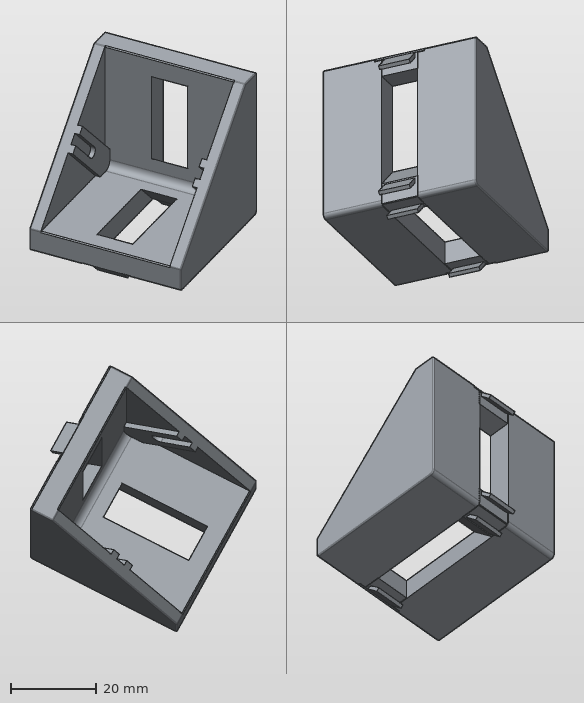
import cadquery as cq
import math

WIDTH = 40.0
OVERALL = 42.0
TAB_REACH = 3.0
BODY = OVERALL - TAB_REACH
PLATE = 6.0
END_FACE = PLATE
CHEEK = 3.0
INNER_WIDTH = WIDTH - 2 * CHEEK
LIP_BEVEL = 0.3
INNER_RADIUS = 2.0

END_CHAMFER = 0.4
CORNER_RADIUS = 1.18
EDGE_RADIUS = 0.3

RIB_WIDTH = 7.0
RIB_HEIGHT = 1.25
SLOT_WIDTH = 2.8
SLOT_LENGTH = 12.22

WINDOW_WIDTH = 9.4
WINDOW_LENGTH = 22.6
WINDOW_START = 11.45

TAB_WIDTH = 8.0
TAB_THICKNESS = 0.95
TAB_ROOT = 0.65
TAB_STARTS = (5.1, 38.15)

GROOVE_DEPTH = 0.25
RECESS_WIDTH = 12.9
RECESS_DEPTH = 0.4

CLEARANCE = 2.1
DIAGONAL = (BODY + END_FACE) / math.sqrt(2)


def side_profile(points):
    """Closed outline in the YZ plane from (distance forward of the back, height) pairs."""
    return cq.Workplane("YZ").polyline([(-forward, height) for forward, height in points]).close()


def extrude_centred(outline, width):
    return outline.extrude(width / 2, both=True)


def edge_at(forward, height):
    """Selects the edge along X at the given place in the side outline."""
    return cq.selectors.NearestToPointSelector((0, -forward, height))


def make_block():
    """Solid bracket with chamfered ends and rounded edges, before hollowing."""
    outline = [
        (0, 0),
        (BODY - END_CHAMFER, 0),
        (BODY, END_CHAMFER),
        (BODY, END_FACE),
        (END_FACE, BODY),
        (END_CHAMFER, BODY),
        (0, BODY - END_CHAMFER),
    ]
    block = extrude_centred(side_profile(outline), WIDTH)
    block = block.edges(edge_at(0, 0)).fillet(CORNER_RADIUS)
    for slope_end in ((BODY, END_FACE), (END_FACE, BODY)):
        block = block.edges(edge_at(*slope_end)).fillet(EDGE_RADIUS)
    return block.faces("<X or >X").edges().fillet(EDGE_RADIUS)


def make_cavity():
    """Space between the cheeks, which also bevels the inner end edge of each plate."""
    beyond = BODY + CLEARANCE
    lip = PLATE - LIP_BEVEL
    outline = [
        (PLATE, PLATE),
        (BODY - LIP_BEVEL, PLATE),
        (BODY, lip),
        (beyond, lip),
        (beyond, beyond),
        (lip, beyond),
        (lip, BODY),
        (PLATE, BODY - LIP_BEVEL),
    ]
    cavity = extrude_centred(side_profile(outline), INNER_WIDTH)
    return cavity.edges(edge_at(PLATE, PLATE)).fillet(INNER_RADIUS)


def make_rib(side):
    """Rib on one cheek, from the inner corner to the sloping edge, with a round-ended slot."""
    slot_radius = SLOT_WIDTH / 2
    slot_centre = DIAGONAL - SLOT_LENGTH + slot_radius
    rib = (
        cq.Workplane("YZ")
        .moveTo(-DIAGONAL, -RIB_WIDTH / 2)
        .lineTo(-PLATE, -RIB_WIDTH / 2)
        .lineTo(-PLATE, RIB_WIDTH / 2)
        .lineTo(-DIAGONAL, RIB_WIDTH / 2)
        .lineTo(-DIAGONAL, slot_radius)
        .lineTo(-slot_centre, slot_radius)
        .threePointArc((-slot_centre + slot_radius, 0), (-slot_centre, -slot_radius))
        .lineTo(-DIAGONAL, -slot_radius)
        .close()
        .extrude(RIB_HEIGHT / 2, both=True)
    )
    middle = side * (INNER_WIDTH - RIB_HEIGHT) / 2
    return rib.rotate((0, 0, 0), (1, 0, 0), -45).translate((middle, 0, 0))


def make_tab(start):
    """Tab on the underside, leaning 45 degrees towards the back as it goes down."""
    step = TAB_THICKNESS / math.sqrt(2)
    outline = [
        (start + TAB_ROOT, TAB_ROOT),
        (start - TAB_REACH, -TAB_REACH),
        (start - TAB_REACH - step, -TAB_REACH + step),
        (start + TAB_ROOT - step, TAB_ROOT + step),
    ]
    return extrude_centred(side_profile(outline), TAB_WIDTH)


def make_openings():
    """Window, shallow groove and end recess of the bottom plate.

    The window's end nearest the corner and the recess wall lean 45 degrees, parallel to the tabs.
    """
    inside = PLATE + CLEARANCE
    window_outline = [
        (WINDOW_START + CLEARANCE, inside),
        (WINDOW_START - PLATE - CLEARANCE, -CLEARANCE),
        (WINDOW_START + WINDOW_LENGTH, -CLEARANCE),
        (WINDOW_START + WINDOW_LENGTH, inside),
    ]
    window = extrude_centred(side_profile(window_outline), WINDOW_WIDTH)
    beyond = BODY + CLEARANCE
    groove_outline = [
        (-CLEARANCE, -CLEARANCE),
        (beyond, -CLEARANCE),
        (beyond, GROOVE_DEPTH),
        (-CLEARANCE, GROOVE_DEPTH),
    ]
    groove = extrude_centred(side_profile(groove_outline), WINDOW_WIDTH)
    recess_start = TAB_STARTS[-1]
    recess_outline = [
        (recess_start + RECESS_DEPTH, RECESS_DEPTH),
        (recess_start - CLEARANCE, -CLEARANCE),
        (beyond, -CLEARANCE),
        (beyond, RECESS_DEPTH),
    ]
    recess = extrude_centred(side_profile(recess_outline), RECESS_WIDTH)
    return window.union(groove).union(recess)


def on_both_plates(bottom_feature):
    """A bottom-plate feature together with its twin on the back plate."""
    twin = bottom_feature.rotate((0, 0, 0), (0, -1, 1), 180)
    return bottom_feature.union(twin)


result = make_block().cut(make_cavity())
for side in (-1, 1):
    result = result.union(make_rib(side))
result = result.cut(on_both_plates(make_openings()))
for tab_start in TAB_STARTS:
    result = result.union(on_both_plates(make_tab(tab_start)))